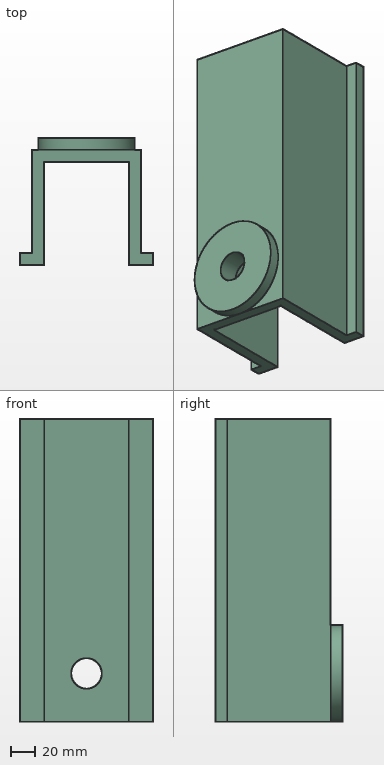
import cadquery as cq

height = 250.0
channel_width = 90.0
channel_depth = 95.0
wall = 10.0
lip_projection = 10.0
boss_diameter = 80.0
boss_thickness = 10.0
hole_diameter = 25.0

half_outer = channel_width / 2
half_inner = half_outer - wall
half_lip = half_outer + lip_projection
web_inner_y = channel_depth - wall
boss_center_z = boss_diameter / 2


def make_channel():
    """U-shaped channel with outward lips along its open edges."""
    right_half = [
        (half_outer, channel_depth),
        (half_outer, wall),
        (half_lip, wall),
        (half_lip, 0),
        (half_inner, 0),
        (half_inner, web_inner_y),
    ]
    left_half = [(-x, y) for x, y in reversed(right_half)]
    return cq.Workplane("XY").polyline(right_half + left_half).close().extrude(height)


def cylinder_along_y(diameter, start_y, length):
    """Cylinder on the boss axis, running toward +Y."""
    plane = cq.Plane(origin=(0, start_y, boss_center_z), xDir=(1, 0, 0), normal=(0, 1, 0))
    return cq.Workplane(plane).circle(diameter / 2).extrude(length)


def make_boss():
    """Round boss on the outside of the web."""
    return cylinder_along_y(boss_diameter, channel_depth, boss_thickness)


def make_hole():
    """Through hole in the web and boss."""
    return cylinder_along_y(hole_diameter, web_inner_y, wall + boss_thickness)


result = make_channel().union(make_boss()).cut(make_hole())